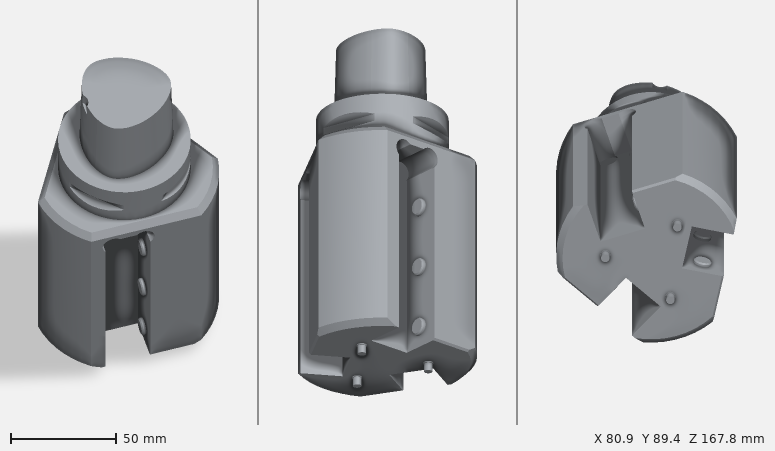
import cadquery as cq
import math

OVERALL_HEIGHT = 167.8
PIN_LENGTH = 4.5
SHANK_HEIGHT = 37.9
COLLAR_HEIGHT = 21.8
BODY_HEIGHT = OVERALL_HEIGHT - PIN_LENGTH - SHANK_HEIGHT - COLLAR_HEIGHT
COLLAR_TOP = BODY_HEIGHT + COLLAR_HEIGHT
SHANK_TOP = COLLAR_TOP + SHANK_HEIGHT

SIDES = 3
BODY_DIAMETER = 90.1
BODY_RADIUS = BODY_DIAMETER / 2
BODY_WIDTH_X = 80.9
FLAT_DISTANCE = BODY_WIDTH_X - BODY_RADIUS
BODY_CHAMFER = 3.0
FLAT_CHAMFER = 1.0

SLOT_WIDTH = 22.1
SLOT_DEPTH = 20.3
SLOT_HEIGHT = 97.1
SLOT_RIGHT = 2.0
SLOT_LEFT = SLOT_RIGHT - SLOT_WIDTH
SLOT_FLOOR = FLAT_DISTANCE - SLOT_DEPTH

RELIEF_DIAMETER = 10
RELIEF_RADIUS = RELIEF_DIAMETER / 2
RELIEF_EXTRA_DEPTH = 1.0
RELIEF_HEIGHT = 93.6
RELIEF_LEFT_REACH = 1.5
RELIEF_RIGHT_REACH = 2.0
RELIEF_LEFT = SLOT_LEFT - RELIEF_LEFT_REACH + RELIEF_RADIUS
RELIEF_RIGHT = SLOT_RIGHT + RELIEF_RIGHT_REACH - RELIEF_RADIUS

SCREW_DIAMETER = 8.5
SCREW_PROTRUSION = 2.0
SCREW_CHAMFER = 0.7
SCREW_COUNT = 3
SCREW_TO_FLOOR = 9.7
SCREW_PITCH = 31.0
LOWEST_SCREW = 10
SCREW_EMBED = 1.7

PIN_DIAMETER = 4.0
PIN_FLANGE_DIAMETER = 4.9
PIN_FLANGE_HEIGHT = 0.5
PIN_CIRCLE_RADIUS = 21.8
PIN_ANGLE = 53

COLLAR_DIAMETER = 63.0
NOTCH_COUNT = 4
NOTCH_START_ANGLE = 45
NOTCH_FLOOR_DISTANCE = 27.8
NOTCH_FLOOR_HEIGHT = 3.5
NOTCH_MOUTH_HEIGHT = 7.7
NOTCH_Z = 113.2

SHANK_BASE_DIAMETER = 44.6
SHANK_TOP_DIAMETER = 42.5
LOBE_OFFSET = 1.5
LOBE_COUNT = 3
LOBE_ANGLE = 90
FLANK_SPAN = 48
LOBE_SPAN = 360 / LOBE_COUNT - FLANK_SPAN
SEGMENT_STEPS = 6

KEYWAY_DIAMETER = 10
KEYWAY_DEPTH = 6.2
KEYWAY_FLOOR = 18.1


def around(shape, count, start=0):
    """Repeat a shape evenly about the Z axis and merge the copies."""
    copies = cq.Workplane("XY")
    for i in range(count):
        angle = start + i * 360 / count
        copies = copies.add(shape.rotate((0, 0, 0), (0, 0, 1), angle))
    return copies.combine()


def box_between(x, y, z):
    """Box spanning the given (low, high) pairs."""
    size = [high - low for low, high in (x, y, z)]
    return cq.Workplane("XY").box(*size, centered=False).translate((x[0], y[0], z[0]))


def make_body():
    body = cq.Workplane("XY").circle(BODY_RADIUS).extrude(BODY_HEIGHT)
    beyond = box_between(
        (FLAT_DISTANCE, BODY_DIAMETER), (-BODY_RADIUS, BODY_RADIUS), (0, BODY_HEIGHT))
    body = body.cut(around(beyond, SIDES))
    body = body.faces(">Z").edges().chamfer(BODY_CHAMFER)
    turned = cq.Workplane("XY").circle(BODY_RADIUS).extrude(BODY_HEIGHT)
    return body.intersect(turned.faces("<Z").edges().chamfer(BODY_CHAMFER))


def make_slot():
    slot = box_between((SLOT_FLOOR, BODY_RADIUS), (SLOT_LEFT, SLOT_RIGHT), (0, SLOT_HEIGHT))
    relief_floor = SLOT_FLOOR - RELIEF_EXTRA_DEPTH
    for y in (RELIEF_LEFT, RELIEF_RIGHT):
        relief = (
            cq.Workplane("YZ", origin=(relief_floor, 0, 0))
            .center(y, RELIEF_HEIGHT)
            .circle(RELIEF_RADIUS)
            .extrude(BODY_RADIUS - relief_floor)
        )
        slot = slot.union(relief)
    return slot


def make_flat_chamfer():
    """Wedge that chamfers the lower edge of a flat on one side of the slot."""
    return (
        cq.Workplane("XZ", origin=(0, SLOT_RIGHT, 0))
        .moveTo(FLAT_DISTANCE - FLAT_CHAMFER, 0)
        .lineTo(FLAT_DISTANCE, 0)
        .lineTo(FLAT_DISTANCE, FLAT_CHAMFER)
        .close()
        .extrude(-BODY_RADIUS)
    )


def make_screws():
    x = SLOT_FLOOR + SCREW_TO_FLOOR
    centers = [(x, LOWEST_SCREW + i * SCREW_PITCH) for i in range(SCREW_COUNT)]
    return (
        cq.Workplane("XZ", origin=(0, SLOT_RIGHT + SCREW_EMBED, 0))
        .pushPoints(centers)
        .circle(SCREW_DIAMETER / 2)
        .extrude(SCREW_EMBED + SCREW_PROTRUSION)
        .faces("<Y").edges().chamfer(SCREW_CHAMFER)
    )


def make_pin():
    angle = math.radians(PIN_ANGLE)
    return (
        cq.Workplane("XY")
        .center(PIN_CIRCLE_RADIUS * math.cos(angle), PIN_CIRCLE_RADIUS * math.sin(angle))
        .circle(PIN_DIAMETER / 2)
        .extrude(-PIN_LENGTH)
        .faces(">Z").workplane(centerOption="CenterOfMass")
        .circle(PIN_FLANGE_DIAMETER / 2)
        .extrude(-PIN_FLANGE_HEIGHT)
    )


def make_collar():
    collar = (
        cq.Workplane("XY", origin=(0, 0, BODY_HEIGHT))
        .circle(COLLAR_DIAMETER / 2)
        .extrude(COLLAR_HEIGHT)
    )
    notch = (
        cq.Workplane("XZ", origin=(0, 0, NOTCH_Z))
        .moveTo(NOTCH_FLOOR_DISTANCE, -NOTCH_FLOOR_HEIGHT / 2)
        .lineTo(COLLAR_DIAMETER / 2, -NOTCH_MOUTH_HEIGHT / 2)
        .lineTo(COLLAR_DIAMETER / 2, NOTCH_MOUTH_HEIGHT / 2)
        .lineTo(NOTCH_FLOOR_DISTANCE, NOTCH_FLOOR_HEIGHT / 2)
        .close()
        .extrude(COLLAR_DIAMETER / 2, both=True)
    )
    return collar.cut(around(notch, NOTCH_COUNT, NOTCH_START_ANGLE))


def lobed_point(diameter, angle, z):
    """Point whose tangent line distance from the axis swells once per lobe."""
    turn = LOBE_COUNT * (angle - math.radians(LOBE_ANGLE))
    reach = diameter / 2 + LOBE_OFFSET * math.cos(turn)
    shift = -LOBE_COUNT * LOBE_OFFSET * math.sin(turn)
    x = reach * math.cos(angle) - shift * math.sin(angle)
    y = reach * math.sin(angle) + shift * math.cos(angle)
    return cq.Vector(x, y, z)


def lobed_wire(diameter, z):
    """Closed constant-width outline, split between its lobes and its flanks."""
    edges = []
    start = math.radians(LOBE_ANGLE - LOBE_SPAN / 2)
    for span_degrees in (LOBE_SPAN, FLANK_SPAN) * LOBE_COUNT:
        span = math.radians(span_degrees)
        angles = [start + span * step / SEGMENT_STEPS for step in range(SEGMENT_STEPS + 1)]
        tangents = [cq.Vector(-math.sin(a), math.cos(a), 0) for a in (angles[0], angles[-1])]
        points = [lobed_point(diameter, a, z) for a in angles]
        edges.append(cq.Edge.makeSpline(points, tangents=tangents))
        start += span
    return cq.Wire.assembleEdges(edges)


def make_shank():
    base = lobed_wire(SHANK_BASE_DIAMETER, COLLAR_TOP)
    top = lobed_wire(SHANK_TOP_DIAMETER, SHANK_TOP)
    shank = cq.Workplane(cq.Solid.makeLoft([base, top], True))
    keyway = (
        cq.Workplane("XY", origin=(0, -KEYWAY_FLOOR - KEYWAY_DIAMETER / 2, SHANK_TOP))
        .circle(KEYWAY_DIAMETER / 2)
        .extrude(-KEYWAY_DEPTH)
    )
    return shank.cut(keyway)


result = make_body().cut(around(make_slot(), SIDES))
result = result.cut(around(make_flat_chamfer(), SIDES))
result = result.union(around(make_screws(), SIDES)).union(around(make_pin(), SIDES))
result = result.union(make_collar()).union(make_shank())